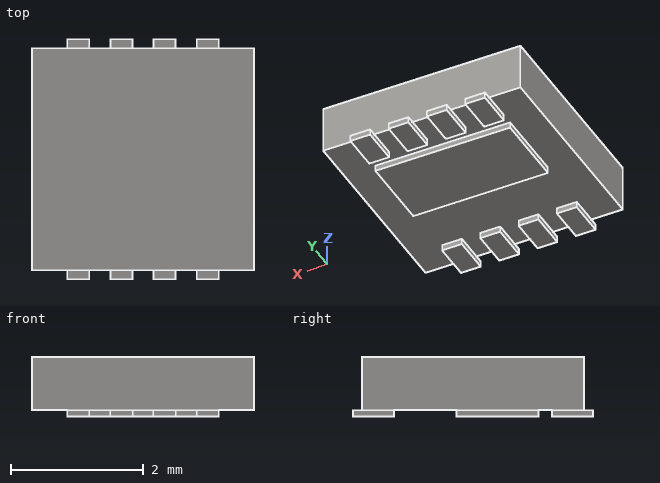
import cadquery as cq

BODY_SIDE = 3.35
BODY_HEIGHT = 0.8

TERMINAL_THICKNESS = 0.1

LEADS_PER_ROW = 4
LEAD_PITCH = 0.65
LEAD_WIDTH = 0.336
LEAD_LENGTH = 0.62
LEAD_TIP_SPAN = 3.62
LEAD_ROW_Y = (LEAD_TIP_SPAN - LEAD_LENGTH) / 2
FIRST_LEAD_X = -LEAD_PITCH * (LEADS_PER_ROW - 1) / 2

PAD_WIDTH = (LEADS_PER_ROW - 1) * LEAD_PITCH + LEAD_WIDTH
PAD_LENGTH = 1.24
PAD_TO_LEAD_GAP = 0.2
PAD_MAX_Y = LEAD_TIP_SPAN / 2 - LEAD_LENGTH - PAD_TO_LEAD_GAP
PAD_CENTRE_Y = PAD_MAX_Y - PAD_LENGTH / 2


def block(size_x, size_y, height, centre_x=0, centre_y=0, base_z=0):
    """Rectangular block standing on base_z, centred on the given point."""
    return (
        cq.Workplane("XY")
        .box(size_x, size_y, height, centered=(True, True, False))
        .translate((centre_x, centre_y, base_z))
    )


def make_body():
    """Square package resting on top of the terminals."""
    return block(BODY_SIDE, BODY_SIDE, BODY_HEIGHT, base_z=TERMINAL_THICKNESS)


def make_lead(centre_x, centre_y):
    """Flat lead whose outer end projects past the package edge."""
    return block(LEAD_WIDTH, LEAD_LENGTH, TERMINAL_THICKNESS, centre_x, centre_y)


def make_thermal_pad():
    """Flat pad on the underside, between the two rows of leads."""
    return block(PAD_WIDTH, PAD_LENGTH, TERMINAL_THICKNESS, centre_y=PAD_CENTRE_Y)


body = make_body()
thermal_pad = make_thermal_pad()

leads = []
for row_y in (-LEAD_ROW_Y, LEAD_ROW_Y):
    for index in range(LEADS_PER_ROW):
        leads.append(make_lead(FIRST_LEAD_X + index * LEAD_PITCH, row_y))

result = cq.Compound.makeCompound(
    [body.val(), thermal_pad.val(), *[lead.val() for lead in leads]]
)